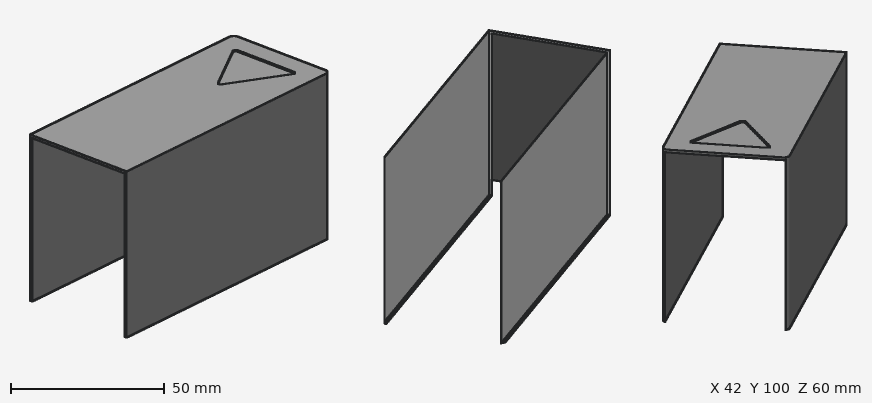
import cadquery as cq
import math

width = 42.0
length = 100.0
height = 60.0
wall = 1.0
corner_radius = 2.0

triangle_half_width = 13.9
triangle_base_y = 92.2
triangle_tip_y = triangle_base_y - triangle_half_width * math.sqrt(3)
triangle_corner_radius = 1.0
recess_depth = 0.5


def sleeve():
    """Inverted U of constant wall, with its +Y upright corners rounded."""
    outer = (
        cq.Workplane("XY")
        .box(width, length, height, centered=(True, False, False))
        .edges("|Z and >Y")
        .fillet(corner_radius)
    )
    channel = cq.Workplane("XY").box(
        width - 2 * wall, length, height - wall, centered=(True, False, False)
    )
    return outer.cut(channel)


def triangle_recess():
    """Rounded triangular cutter reaching down from the top face."""
    return (
        cq.Workplane("XY", origin=(0, 0, height - recess_depth))
        .moveTo(-triangle_half_width, triangle_base_y)
        .lineTo(triangle_half_width, triangle_base_y)
        .lineTo(0, triangle_tip_y)
        .close()
        .extrude(recess_depth)
        .edges("|Z")
        .fillet(triangle_corner_radius)
    )


result = sleeve().cut(triangle_recess())